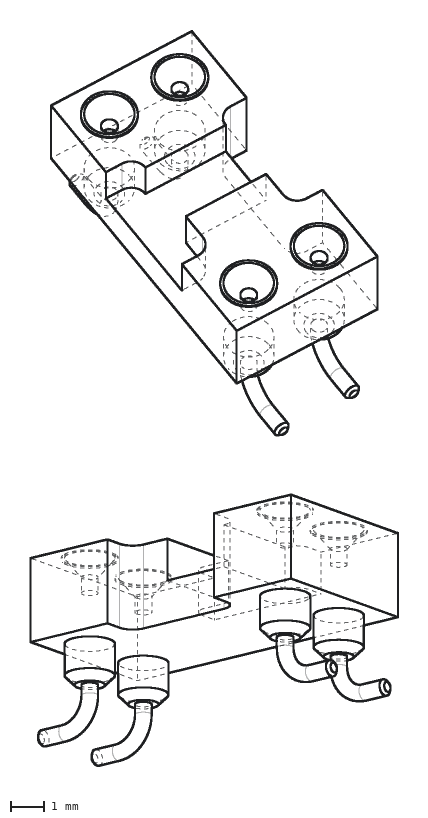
import cadquery as cq

pitch = 2.54
body_length = 4 * pitch
body_width = 2 * pitch
body_height = 2.65

notch_length = 4.15
notch_depth = 1.09
notch_radius = 0.51
channel_left = -notch_length / 2 + notch_radius
channel_right = 0.64
recess_depth = 1.32
floor_height = body_height - recess_depth

row_offset = 1.5 * pitch
rim_diameter = 1.72
rim_height = 0.05
sleeve_diameter = 1.52
sleeve_length = 1.0
taper = 0.3
lead_diameter = 0.51
lead_drop = 0.325
bend_radius = 1.0
lead_tip_x = 5.71
lead_chamfer = 0.1

funnel_diameter = 1.52
bore_diameter = 0.51
bore_depth = 0.5
funnel_depth = 0.6


def side_notch(side, base):
    """Cutter for a waist notch in the +Y (side = 1) or -Y (side = -1) face, from Z = base to the top."""
    return (
        cq.Workplane("XY", origin=(0, side * body_width / 2, base))
        .rect(notch_length, 2 * notch_depth)
        .extrude(body_height - base)
        .edges("|Z")
        .fillet(notch_radius)
    )


def make_body():
    body = cq.Workplane("XY").box(body_length, body_width, body_height, centered=(True, True, False))
    channel = (
        cq.Workplane("XY", origin=((channel_left + channel_right) / 2, 0, floor_height))
        .box(channel_right - channel_left, body_width, recess_depth, centered=(True, True, False))
    )
    return body.cut(channel).cut(side_notch(1, 0)).cut(side_notch(-1, floor_height))


def make_sleeve():
    """Sleeve and rim of one contact, revolved about its axis at X = Y = 0."""
    rim_radius = rim_diameter / 2
    sleeve_radius = sleeve_diameter / 2
    rim_top = body_height + rim_height
    return (
        cq.Workplane("XZ")
        .moveTo(0, rim_top)
        .lineTo(rim_radius, rim_top)
        .lineTo(rim_radius, body_height)
        .lineTo(sleeve_radius, body_height)
        .lineTo(sleeve_radius, -sleeve_length)
        .lineTo(sleeve_radius - taper, -sleeve_length - taper)
        .lineTo(0, -sleeve_length - taper)
        .close()
        .revolve(360, (0, 0, 0), (0, 1, 0))
    )


def make_lead():
    """Round lead that drops from the sleeve, bends towards +X and ends in a chamfered tip."""
    top = -sleeve_length - taper
    bend_start = top - lead_drop
    straight_end = lead_tip_x - row_offset - bend_radius
    lead_radius = lead_diameter / 2
    drop = cq.Workplane("XY", origin=(0, 0, bend_start)).circle(lead_radius).extrude(lead_drop)
    bend = (
        cq.Workplane("XY", origin=(0, 0, bend_start))
        .circle(lead_radius)
        .revolve(90, (bend_radius, 0, 0), (bend_radius, -1, 0))
    )
    foot = (
        cq.Workplane("YZ", origin=(bend_radius, 0, bend_start - bend_radius))
        .circle(lead_radius)
        .extrude(straight_end)
        .faces(">X")
        .chamfer(lead_chamfer)
    )
    return drop.union(bend).union(foot)


def make_funnel():
    """Conical entry and short blind bore, about the axis at X = Y = 0."""
    rim_top = body_height + rim_height
    bore_top = rim_top - funnel_depth
    bore_radius = bore_diameter / 2
    return (
        cq.Workplane("XZ")
        .moveTo(0, rim_top)
        .lineTo(funnel_diameter / 2, rim_top)
        .lineTo(bore_radius, bore_top)
        .lineTo(bore_radius, bore_top - bore_depth)
        .lineTo(0, bore_top - bore_depth)
        .close()
        .revolve(360, (0, 0, 0), (0, 1, 0))
    )


right_contact = make_sleeve().union(make_lead())
left_contact = right_contact.rotate((0, 0, 0), (0, 0, 1), 180)
funnel = make_funnel()

result = make_body()
for x, contact in ((row_offset, right_contact), (-row_offset, left_contact)):
    for y in (-pitch / 2, pitch / 2):
        result = result.union(contact.translate((x, y, 0)))
        result = result.cut(funnel.translate((x, y, 0)))